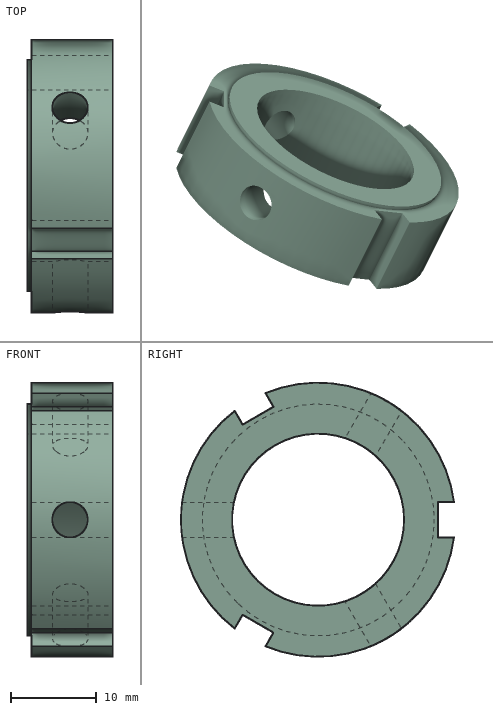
import cadquery as cq

outer_diameter = 31.95
bore_diameter = 20.0
collar_diameter = 27.0
total_width = 10.0
collar_height = 0.5
slot_width = 4.12
slot_floor_radius = 14.0
hole_diameter = 4.12
slot_count = 3

outer_radius = outer_diameter / 2
cut_length = outer_radius
angle_step = 360 / slot_count


def ring_body():
    """Ring with a raised collar on the -X face, starting at X = 0."""
    collar = cq.Workplane("YZ").circle(collar_diameter / 2).extrude(total_width)
    rim = (
        cq.Workplane("YZ", origin=(collar_height, 0, 0))
        .circle(outer_radius)
        .extrude(total_width - collar_height)
    )
    bore = cq.Workplane("YZ").circle(bore_diameter / 2).extrude(total_width)
    return collar.union(rim).cut(bore)


def spanner_slot():
    """Full-width slot in the rim on the +Y side."""
    return cq.Workplane("XY").box(
        total_width, cut_length, slot_width, centered=(False, False, True)
    ).translate((0, slot_floor_radius, 0))


def radial_hole():
    """Hole through the ring wall on the -Y side, opposite a slot."""
    return (
        cq.Workplane("XZ", origin=(total_width / 2, 0, 0))
        .circle(hole_diameter / 2)
        .extrude(cut_length)
    )


result = ring_body()
for index in range(slot_count):
    for cutter in (spanner_slot(), radial_hole()):
        result = result.cut(cutter.rotate((0, 0, 0), (1, 0, 0), index * angle_step))